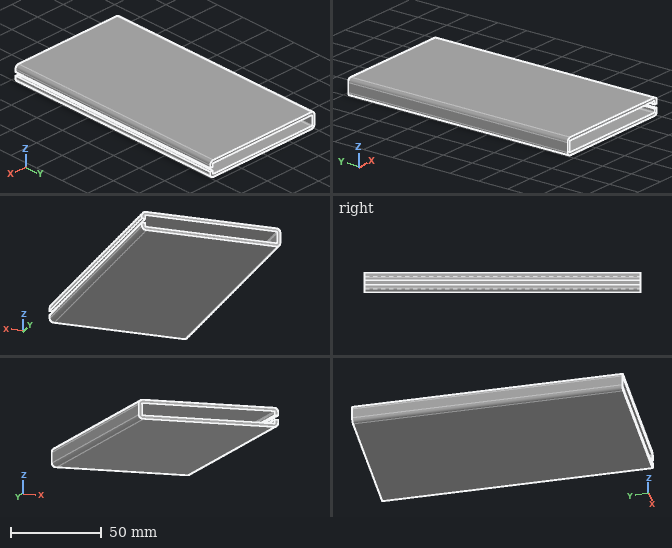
import cadquery as cq

length = 152.4
width = 81.1
height = 10.8
wall = 2.0
outer_radius = 2.5
inner_radius = outer_radius - wall
slot_height = 2.5


def rounded_bar(size_x, size_z, radius):
    """Full-length bar along Y with its four long edges rounded."""
    return cq.Workplane("XY").box(size_x, length, size_z).edges("|Y").fillet(radius)


outer = rounded_bar(width, height, outer_radius)
cavity = rounded_bar(width - 2 * wall, height - 2 * wall, inner_radius)

slot = (
    cq.Workplane("XY")
    .box(wall, length, slot_height)
    .translate(((width - wall) / 2, 0, 0))
)

result = outer.cut(cavity).cut(slot)